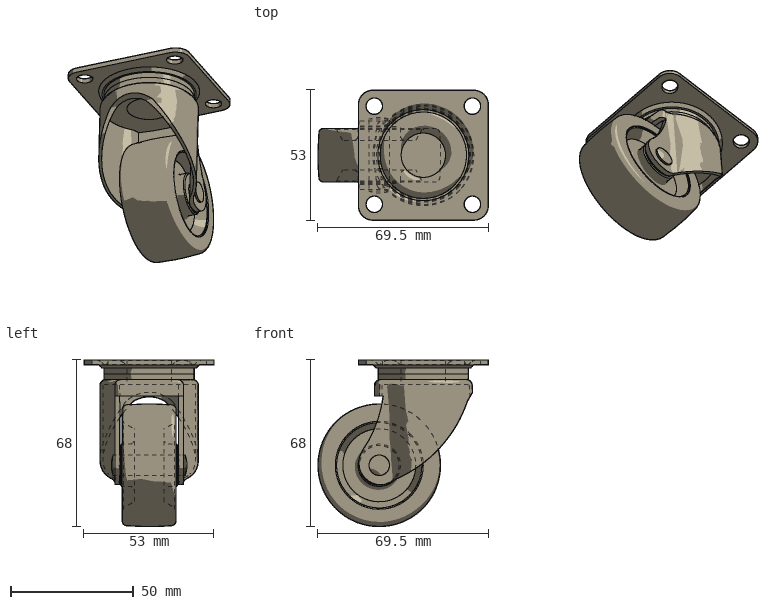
import cadquery as cq
import math

overall_length = 69.5
overall_height = 68.0

plate_side = 53.0
plate_thickness = 2.0
plate_corner_radius = 6.0
bolt_spacing = 39.95
bolt_hole_diameter = 6.6

dish_radius = 22.1
groove_outer_radius = 18.55
groove_inner_radius = 17.6
groove_z = -1.9
crest_outer_radius = 14.1
crest_inner_radius = 12.9
crest_z = -0.2
underside_cone_top_radius = 20.6
underside_cone_bottom_radius = 19.2
underside_z = -3.4
race_radius = 18.4
race_split_z = -5.7

king_pin_radius = 9.05

wheel_radius = 25.0
wheel_half_width = 11.0
wheel_x = plate_side / 2 + wheel_radius - overall_length
wheel_z = wheel_radius - overall_height
tread_edge_radius = 24.7
tread_fillet = 2.0
rim_radius = 17.9
rim_step = 0.55
web_radius = 14.9
web_half_width = 6.0
hub_radius = 8.6
hub_fillet = 2.0
hub_end_radius = 8.05
hub_taper_start = 11.2
hub_half_width = 11.6

axle_radius = 4.2
axle_half_length = 14.65
axle_dome_height = 0.75

fork_thickness = plate_thickness
fork_back_thickness = 1.25
fork_top_z = -8.05
fork_roof_z = fork_top_z - fork_thickness
fork_radius = 20.1
fork_round_x = -0.3
fork_lean = 2.65
fork_bottom_z = -51.4
fork_edge_fillet = 2.35
leg_half_width = 14.0
leg_blend_radius = 4.5
apron_bottom_z = -14.8
apron_front_x = -19.95
apron_radius = 69.5
apron_corner_radius = 2.4
clearance = 6.95

leg_front_top = (-16.4, apron_bottom_z)
leg_front_middle = (-18.8, -25.2)
leg_end_start = (-24.8, -37.0)
leg_end_middle = (-26.3, -42.6)
leg_end_finish = (-13.9, -50.2)
leg_heel = (-11.0, -48.5)
back_curve_middle = (10.8, -30.85)
back_curve_top = (18.0, -16.8)
back_corner = (fork_radius, -13.2)


def rounding_point(width, drop):
    """Middle (along, down) of an arc that starts level and falls by `drop` over `width`."""
    radius = (width**2 + drop**2) / (2 * drop)
    half_angle = math.atan2(drop, width)
    return radius * math.sin(half_angle), radius * (1 - math.cos(half_angle))


def make_plate():
    crest_to_pin = crest_inner_radius - king_pin_radius
    pin_lip_z = crest_z - crest_to_pin
    dish_along, dish_down = rounding_point(dish_radius - groove_outer_radius, -groove_z)
    outer_along, outer_down = rounding_point(
        groove_inner_radius - crest_outer_radius, crest_z - groove_z
    )
    inner_along, inner_down = rounding_point(crest_to_pin, crest_to_pin)

    square = (
        cq.Workplane("XY")
        .rect(plate_side, plate_side)
        .extrude(-plate_thickness)
        .edges("|Z")
        .fillet(plate_corner_radius)
        .faces(">Z")
        .workplane()
        .rect(bolt_spacing, bolt_spacing, forConstruction=True)
        .vertices()
        .hole(bolt_hole_diameter)
        .faces(">Z")
        .workplane()
        .hole(2 * dish_radius)
    )
    race = (
        cq.Workplane("XZ")
        .moveTo(dish_radius, 0)
        .threePointArc((dish_radius - dish_along, -dish_down), (groove_outer_radius, groove_z))
        .lineTo(groove_inner_radius, groove_z)
        .threePointArc(
            (crest_outer_radius + outer_along, crest_z - outer_down),
            (crest_outer_radius, crest_z),
        )
        .lineTo(crest_inner_radius, crest_z)
        .threePointArc(
            (crest_inner_radius - inner_along, crest_z - inner_down),
            (king_pin_radius, pin_lip_z),
        )
        .lineTo(king_pin_radius, race_split_z)
        .lineTo(race_radius, race_split_z)
        .lineTo(race_radius, underside_z)
        .lineTo(underside_cone_bottom_radius, underside_z)
        .lineTo(underside_cone_top_radius, -plate_thickness)
        .lineTo(dish_radius, -plate_thickness)
        .close()
        .revolve(360, (0, 0, 0), (0, 1, 0))
    )
    return square.union(race)


def make_king_pin():
    return cq.Workplane("XY").circle(king_pin_radius).extrude(fork_roof_z)


def make_wheel():
    fillet_inset = 1 - math.sqrt(0.5)
    tread_inset = tread_fillet * fillet_inset
    hub_inset = hub_fillet * fillet_inset
    step_half_width = wheel_half_width - rim_step
    tread_half_width = wheel_half_width - tread_fillet

    wheel = (
        cq.Workplane("XY")
        .moveTo(axle_radius, -hub_half_width)
        .lineTo(hub_end_radius, -hub_half_width)
        .lineTo(hub_radius, -hub_taper_start)
        .lineTo(hub_radius, -web_half_width - hub_fillet)
        .threePointArc(
            (hub_radius + hub_inset, -web_half_width - hub_inset),
            (hub_radius + hub_fillet, -web_half_width),
        )
        .lineTo(web_radius, -web_half_width)
        .lineTo(rim_radius - rim_step, -step_half_width)
        .lineTo(rim_radius, -step_half_width)
        .lineTo(rim_radius, -wheel_half_width)
        .lineTo(tread_edge_radius - tread_fillet, -wheel_half_width)
        .threePointArc(
            (tread_edge_radius - tread_inset, -wheel_half_width + tread_inset),
            (tread_edge_radius, -tread_half_width),
        )
        .threePointArc((wheel_radius, 0), (tread_edge_radius, tread_half_width))
        .threePointArc(
            (tread_edge_radius - tread_inset, wheel_half_width - tread_inset),
            (tread_edge_radius - tread_fillet, wheel_half_width),
        )
        .lineTo(rim_radius, wheel_half_width)
        .lineTo(rim_radius, step_half_width)
        .lineTo(rim_radius - rim_step, step_half_width)
        .lineTo(web_radius, web_half_width)
        .lineTo(hub_radius + hub_fillet, web_half_width)
        .threePointArc(
            (hub_radius + hub_inset, web_half_width + hub_inset),
            (hub_radius, web_half_width + hub_fillet),
        )
        .lineTo(hub_radius, hub_taper_start)
        .lineTo(hub_end_radius, hub_half_width)
        .lineTo(axle_radius, hub_half_width)
        .close()
        .revolve(360, (0, 0, 0), (0, 1, 0))
    )
    return wheel.translate((wheel_x, 0, wheel_z))


def make_axle():
    """Pin with a shallow dome on each end."""
    tip = axle_half_length + axle_dome_height
    dome_along, dome_down = rounding_point(axle_radius, axle_dome_height)
    axle = (
        cq.Workplane("XY")
        .moveTo(0, -tip)
        .threePointArc((dome_along, dome_down - tip), (axle_radius, -axle_half_length))
        .lineTo(axle_radius, axle_half_length)
        .threePointArc((dome_along, tip - dome_down), (0, tip))
        .close()
        .revolve(360, (0, 0, 0), (0, 1, 0))
    )
    return axle.translate((wheel_x, 0, wheel_z))


def fork_column(leg_inset, back_inset):
    """Leaning column with a round back and two flat legs, each inset from the fork's outside."""
    radius = fork_radius - back_inset
    half_width = leg_half_width - leg_inset
    blend = leg_blend_radius + leg_inset
    front_x = leg_end_middle[0] - clearance

    blend_y = half_width + blend
    blend_from_round = -math.sqrt((radius + blend) ** 2 - blend_y**2)
    blend_x = fork_round_x + blend_from_round
    shrink = radius / (radius + blend)
    round_x = fork_round_x + blend_from_round * shrink
    round_y = blend_y * shrink
    middle_angle = (math.atan2(-blend_y, -blend_from_round) - math.pi / 2) / 2
    middle_x = blend_x + blend * math.cos(middle_angle)
    middle_y = blend_y + blend * math.sin(middle_angle)

    outline = (
        cq.Workplane("XY", origin=(0, 0, fork_top_z))
        .moveTo(front_x, half_width)
        .lineTo(blend_x, half_width)
        .threePointArc((middle_x, middle_y), (round_x, round_y))
        .threePointArc((fork_round_x + radius, 0), (round_x, -round_y))
        .threePointArc((middle_x, -middle_y), (blend_x, -half_width))
        .lineTo(front_x, -half_width)
        .close()
    )
    lean = cq.Vector(fork_lean, 0, fork_bottom_z - fork_top_z)
    return cq.Workplane(cq.Solid.extrudeLinear(outline.val(), [], lean))


def apron_disc(inset, top_z):
    """Large disc whose front edge is the apron's shallow curve, down to the apron's lower edge."""
    return (
        cq.Workplane("XY", origin=(apron_front_x + apron_radius, 0, top_z))
        .circle(apron_radius - inset)
        .extrude(apron_bottom_z - top_z)
    )


def side_outline():
    """Block across the fork with the side outline of its apron, legs and back."""
    back_x = fork_radius + clearance
    top_z = fork_top_z + clearance
    return (
        cq.Workplane("XZ")
        .moveTo(apron_front_x - clearance, top_z)
        .lineTo(apron_front_x - clearance, apron_bottom_z)
        .lineTo(*leg_front_top)
        .threePointArc(leg_front_middle, leg_end_start)
        .threePointArc(leg_end_middle, leg_end_finish)
        .lineTo(*leg_heel)
        .threePointArc(back_curve_middle, back_curve_top)
        .lineTo(*back_corner)
        .lineTo(back_x, back_corner[1])
        .lineTo(back_x, top_z)
        .close()
        .extrude(fork_radius + clearance, both=True)
    )


def fork_hollow():
    """Space inside the fork: behind the apron above its lower edge, open to the front below."""
    below_apron = (
        cq.Workplane("XY", origin=(0, 0, apron_bottom_z))
        .rect(2 * overall_length, 2 * overall_length)
        .extrude(fork_bottom_z - apron_bottom_z)
    )
    reach = apron_disc(fork_thickness, fork_roof_z).union(below_apron)
    return fork_column(fork_thickness, fork_back_thickness).intersect(reach)


def make_fork(king_pin, axle):
    in_front_of_apron = (
        cq.Workplane("XY", origin=(apron_front_x, 0, apron_bottom_z))
        .rect(2 * apron_radius, 2 * overall_length)
        .extrude(-apron_bottom_z)
        .cut(apron_disc(0, 0))
    )
    body = fork_column(0, 0).intersect(side_outline()).cut(in_front_of_apron)
    apron_corners = cq.selectors.BoxSelector(
        (apron_front_x, -fork_radius, apron_bottom_z),
        ((apron_front_x + leg_front_top[0]) / 2, fork_radius, fork_top_z),
    )
    body = body.edges(apron_corners).edges("|Z").fillet(apron_corner_radius)
    body = body.faces(">Z").edges().fillet(fork_edge_fillet)
    lower_race = (
        cq.Workplane("XY", origin=(0, 0, race_split_z))
        .circle(race_radius)
        .extrude(fork_top_z - race_split_z)
    )
    return body.cut(fork_hollow()).union(lower_race).cut(king_pin).cut(axle)


plate = make_plate()
king_pin = make_king_pin()
wheel = make_wheel()
axle = make_axle()
fork = make_fork(king_pin, axle)

result = cq.Compound.makeCompound(
    [plate.val(), king_pin.val(), wheel.val(), axle.val(), fork.val()]
)